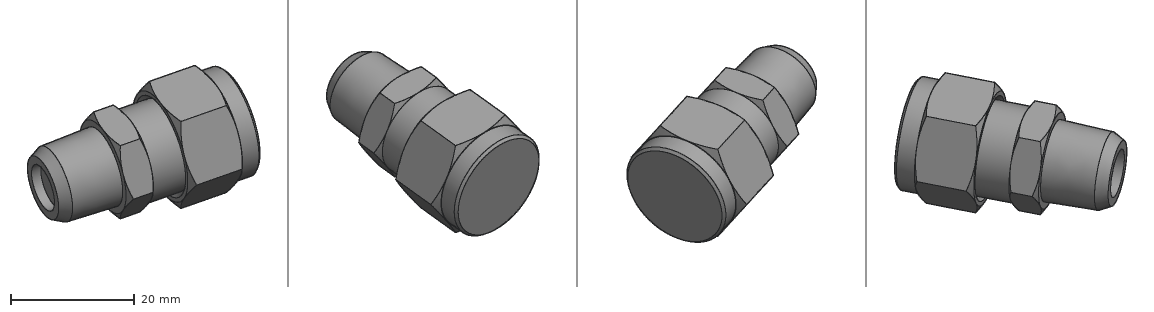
import cadquery as cq
import math

length = 35.0
half_length = length / 2
lead_length = 2.0
thread_end = 11.0
small_hex_end = 16.0
nut_start = 21.5
nut_end = 31.5

nut_flats = 19.0
small_hex_flats = 16.0
neck_radius = small_hex_flats / 2
collar_radius = 9.4
collar_chamfer = 0.45
thread_root_radius = 6.82
thread_front_radius = 6.5
lead_radius = 5.45
bore_radius = 4.0
bore_depth = 1.68
recess_radius = 8.75
recess_depth = recess_radius - neck_radius
hex_chamfer_angle = 30.0


def revolve_profile(points):
    """Revolve a closed outline of (radius, Y) points around the Y axis."""
    return cq.Workplane("XY").polyline(points).close().revolve(360, (0, 0, 0), (0, 1, 0))


def chamfered_hex(flats, start, end):
    """Hexagonal bar with corners on the X axis, its corners turned down at both ends."""
    corner_radius = flats / math.sqrt(3)
    face_radius = flats / 2
    drop = (corner_radius - face_radius) * math.tan(math.radians(hex_chamfer_angle))
    bar = (
        cq.Workplane("XZ", origin=(0, start, 0))
        .polygon(6, 2 * corner_radius)
        .extrude(start - end)
    )
    envelope = revolve_profile([
        (0, start),
        (face_radius, start),
        (corner_radius, start + drop),
        (corner_radius, end - drop),
        (face_radius, end),
        (0, end),
    ])
    return bar.intersect(envelope)


nut = chamfered_hex(nut_flats, nut_start, nut_end)
recess = revolve_profile([
    (0, nut_start),
    (recess_radius, nut_start),
    (neck_radius, nut_start + recess_depth),
    (0, nut_start + recess_depth),
])
nut = nut.cut(recess)

collar = revolve_profile([
    (0, nut_end),
    (collar_radius, nut_end),
    (collar_radius, length - collar_chamfer),
    (collar_radius - collar_chamfer, length),
    (0, length),
])

neck = revolve_profile([
    (0, small_hex_end),
    (neck_radius, small_hex_end),
    (neck_radius, nut_end),
    (0, nut_end),
])

thread = revolve_profile([
    (0, bore_depth),
    (bore_radius, bore_depth),
    (bore_radius, 0),
    (lead_radius, 0),
    (thread_front_radius, lead_length),
    (thread_root_radius, thread_end),
    (0, thread_end),
])

small_hex = chamfered_hex(small_hex_flats, thread_end, small_hex_end)

body = thread.union(small_hex).union(neck).union(nut).union(collar)
result = body.translate((0, -half_length, 0))